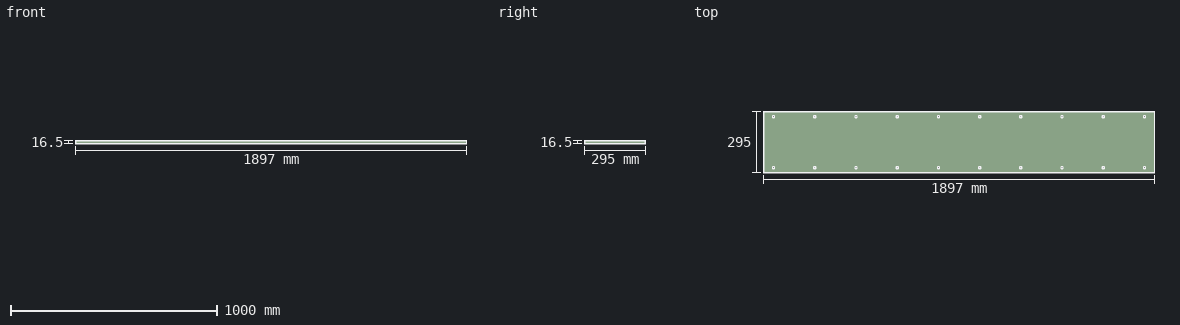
import cadquery as cq

length = 1897.0
width = 295.0
height = 16.5
sheet = 2.0

bend_radius = sheet
corner_notch = 1.7

holes_per_row = 10
end_margin = 50.0
hole_pitch = (length - 2 * end_margin) / (holes_per_row - 1)
row_spacing = 247.0
hole_side = 8.5


def tray():
    """Flat sheet with an upright flange along all four sides, rounded under each bend."""
    outside = (
        cq.Workplane("XY")
        .box(length, width, height, centered=(True, True, False))
        .faces("<Z")
        .edges()
        .fillet(bend_radius)
    )
    inside = (
        cq.Workplane("XY")
        .workplane(offset=sheet)
        .rect(length - 2 * sheet, width - 2 * sheet)
        .extrude(height)
    )
    return outside.cut(inside)


def corner_notches():
    """Square posts that notch the outer corner between neighbouring flanges."""
    return (
        cq.Workplane("XY")
        .rarray(length - corner_notch, width - corner_notch, 2, 2)
        .rect(corner_notch, corner_notch)
        .extrude(height)
    )


def mounting_holes():
    """Square posts that pass through the floor of the tray."""
    return (
        cq.Workplane("XY")
        .rarray(hole_pitch, row_spacing, holes_per_row, 2)
        .rect(hole_side, hole_side)
        .extrude(height)
    )


result = tray().cut(corner_notches()).cut(mounting_holes())